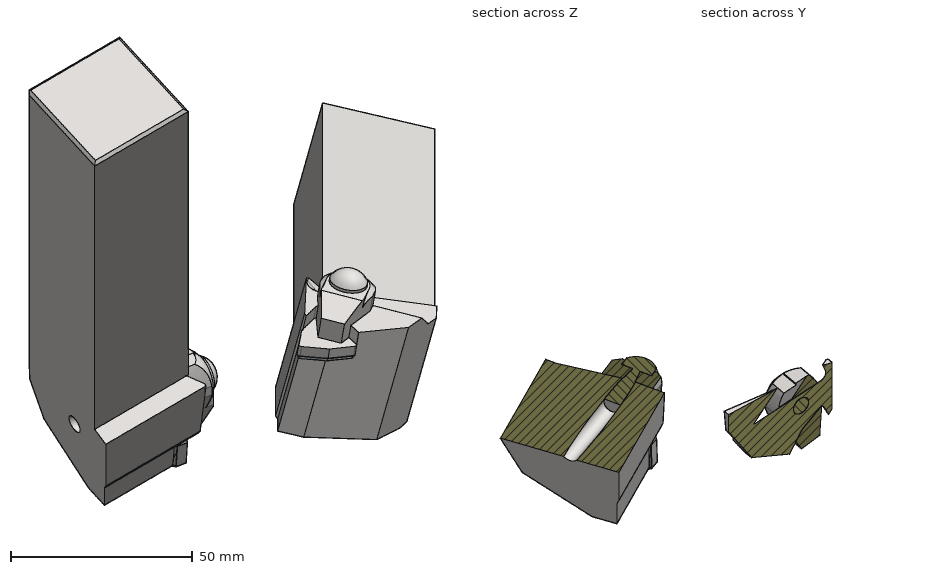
import cadquery as cq
import math

TOP_Z = 151.9
SHANK_SIZE = 32.0
EDGE_CHAMFER_X = 1.7
EDGE_CHAMFER_Y = 1.0
TOP_CHAMFER = 0.9

HEAD_RIGHT = 37.2
HEAD_TOP_Z = 31.1
SHOULDER_DROP = 1.4
HEAD_BLANK_Y = 45.5
LEFT_BEVEL_Z = 24.8
CORNER_X, CORNER_Z = 8.4, 10.8
BOTTOM_X, BOTTOM_Z = 29.2, 1.4
SEAT_RIGHT = 36.6
RELIEF_LOW_Z = 9.3
RELIEF_HIGH_Z = 10.8

TIP_X, TIP_Y, TIP_Z = 37.7, 27.2, -0.08
TILT_ANGLE = 6.0
TILT = math.tan(math.radians(TILT_ANGLE))
NORMAL = cq.Vector(TILT, 1, -TILT)
BACK = cq.Vector(-1, TILT, 0)
BIG = 121.5

INSCRIBED_RADIUS = 6.4
CORNER_COUNT = 6
TIP_ANGLE = 80.0
EDGE_ANGLE = 5.0
INSERT_THICKNESS = 3.2
TIP_RADIUS = 0.8
SHIM_THICKNESS = 0.9
SHIM_INSET = 0.3

RIDGE_HEIGHT = 4.0
CLAMP_TURN = 13.0
CLAMP_HEIGHT = 10.0
CLAMP_HALF_WIDTH = 7.6
FLANK_END = 1.5
SHOULDER_END = 4.0
SHOULDER_REACH = 8.4
TAB_START = -0.3
TAB_END = -4.9
TAIL_REACH = 9.0
BULGE_ANGLE = 35.0
HEEL_REACH = 4.9
HEEL_RELIEF = 1.2
NOSE_REACH = 15.5
NOSE_HALF_WIDTH = 3.3
NOSE_HEIGHT = 6.2
NOSE_SLOPE_START = 7.3
NOSE_BAR_HALF_WIDTH = 6.1
CROWN_RADIUS = 11.1
CROWN_CENTRE_HEIGHT = 0.8

GROOVE_WALL = 6.1
GROOVE_RIGHT = 7.9
WEDGE_ANGLE = 48.0

SCREW_FOOT_X, SCREW_FOOT_Z = 22.6, 23.5
SCREW_DIAMETER = 5.2
SCREW_DEPTH = 6.1
SCREW_HEAD_RADIUS = 5.3
DOME_HEIGHT = 3.0
HEAD_RECESS = 2.1
HEAD_RIM = 3.0


insert_plane = cq.Plane(origin=(TIP_X, TIP_Y, TIP_Z), xDir=BACK, normal=NORMAL)


def screw_axis_origin():
    """Point where the screw axis crosses the insert's top face."""
    foot = cq.Vector(SCREW_FOOT_X, 0, SCREW_FOOT_Z)
    tip = cq.Vector(TIP_X, TIP_Y, TIP_Z)
    travel = (tip - foot).dot(NORMAL) / NORMAL.dot(NORMAL)
    return foot + NORMAL * travel


clamp_plane = cq.Plane(origin=screw_axis_origin(), xDir=BACK, normal=NORMAL).rotated((0, 0, -CLAMP_TURN))


def at_height(plane, height):
    """Workplane parallel to a tilted plane, raised along its normal."""
    return cq.Workplane(plane).workplane(offset=height)


def trigon(height, thickness, inset):
    """Six-sided plate with three sharp corners, its top face at the given height."""
    half_tip = math.radians(TIP_ANGLE / 2)
    half_blunt = math.radians(120 - TIP_ANGLE / 2)
    to_corner = INSCRIBED_RADIUS / math.sin(half_tip)
    centre_angle = math.radians(EDGE_ANGLE + TIP_ANGLE / 2)
    centre_x = to_corner * math.cos(centre_angle)
    centre_y = to_corner * math.sin(centre_angle)
    inner = INSCRIBED_RADIUS - inset
    points = []
    for i in range(CORNER_COUNT):
        reach = inner / math.sin(half_tip if i % 2 == 0 else half_blunt)
        angle = centre_angle + math.pi + i * math.tau / CORNER_COUNT
        points.append((centre_x + reach * math.cos(angle), centre_y + reach * math.sin(angle)))
    plate = at_height(insert_plane, height - thickness).polyline(points).close().extrude(thickness)
    mid_height = height - thickness / 2
    sharp_corners = [insert_plane.toWorldCoords((x, y, mid_height)).toTuple() for x, y in points[::2]]
    edges = [plate.edges(cq.selectors.NearestToPointSelector(corner)).val() for corner in sharp_corners]
    return plate.newObject(edges).fillet(TIP_RADIUS)


def make_shank():
    shank = cq.Workplane("XY").workplane(offset=HEAD_TOP_Z).rect(SHANK_SIZE, SHANK_SIZE, centered=False)
    shank = shank.extrude(TOP_Z - HEAD_TOP_Z)
    return shank.faces(">Z").chamfer(TOP_CHAMFER)


def make_head():
    outline = [
        (0, HEAD_TOP_Z),
        (SHANK_SIZE, HEAD_TOP_Z),
        (HEAD_RIGHT, HEAD_TOP_Z - SHOULDER_DROP),
        (HEAD_RIGHT, RELIEF_HIGH_Z),
        (SEAT_RIGHT, RELIEF_LOW_Z),
        (SEAT_RIGHT, BOTTOM_Z),
        (BOTTOM_X, BOTTOM_Z),
        (CORNER_X, CORNER_Z),
        (0, LEFT_BEVEL_Z),
    ]
    head = cq.Workplane("XZ").polyline(outline).close().extrude(-HEAD_BLANK_Y)
    above_ridge = at_height(insert_plane, RIDGE_HEIGHT).rect(BIG, BIG).extrude(BIG)
    return head.cut(above_ridge)


def make_groove():
    """Open space behind the ridge, with sloped walls facing the clamp's heel."""
    groove = cq.Workplane(clamp_plane).moveTo(-GROOVE_RIGHT, GROOVE_WALL).rect(BIG, BIG, centered=False)
    return groove.extrude(CLAMP_HEIGHT, taper=-WEDGE_ANGLE)


def make_edge_chamfer():
    edge = cq.Workplane("XY").polyline([(0, 0), (EDGE_CHAMFER_X, 0), (0, EDGE_CHAMFER_Y)]).close()
    return edge.extrude(TOP_Z)


def make_insert_pocket():
    """Pocket with the insert's outline, open above the insert."""
    return trigon(CLAMP_HEIGHT, CLAMP_HEIGHT + INSERT_THICKNESS, 0)


def make_holder():
    bore_depth = BIG / 2
    head = make_head().cut(make_groove())
    holder = make_shank().union(head).cut(make_edge_chamfer())
    holder = holder.cut(make_insert_pocket()).cut(make_shim())
    bore = at_height(clamp_plane, -bore_depth).circle(SCREW_DIAMETER / 2).extrude(2 * bore_depth)
    return holder.cut(bore)


def make_insert():
    return trigon(0, INSERT_THICKNESS, 0)


def make_shim():
    return trigon(-INSERT_THICKNESS, SHIM_THICKNESS, SHIM_INSET)


def make_screw():
    shaft = at_height(clamp_plane, -SCREW_DEPTH).circle(SCREW_DIAMETER / 2).extrude(SCREW_DEPTH + CLAMP_HEIGHT)
    sphere_radius = (SCREW_HEAD_RADIUS**2 + DOME_HEIGHT**2) / (2 * DOME_HEIGHT)
    head_base = CLAMP_HEIGHT - HEAD_RECESS
    head_top = head_base + HEAD_RIM + DOME_HEIGHT
    rim = at_height(clamp_plane, head_base).circle(SCREW_HEAD_RADIUS).extrude(head_top - head_base)
    ball = at_height(clamp_plane, head_top - sphere_radius).sphere(sphere_radius)
    return shaft.union(rim.intersect(ball))


def make_clamp_outline():
    """Upright block with the clamp's outline: rounded flanks, stepped tail and narrow nose."""
    bulge = math.radians(BULGE_ANGLE)
    bulge_x = CLAMP_HALF_WIDTH * math.cos(bulge)
    bulge_y = FLANK_END + CLAMP_HALF_WIDTH * math.sin(bulge)
    return (
        cq.Workplane(clamp_plane)
        .moveTo(TAB_END, TAIL_REACH)
        .lineTo(TAB_START, TAIL_REACH)
        .lineTo(TAB_START, SHOULDER_REACH)
        .lineTo(SHOULDER_END, SHOULDER_REACH)
        .threePointArc((bulge_x, bulge_y), (CLAMP_HALF_WIDTH, FLANK_END))
        .lineTo(CLAMP_HALF_WIDTH, -FLANK_END)
        .lineTo(NOSE_HALF_WIDTH, -NOSE_REACH)
        .lineTo(-NOSE_HALF_WIDTH, -NOSE_REACH)
        .lineTo(-CLAMP_HALF_WIDTH, -FLANK_END)
        .lineTo(-CLAMP_HALF_WIDTH, FLANK_END)
        .threePointArc((-bulge_x, bulge_y), (TAB_END, TAIL_REACH))
        .close()
        .extrude(CLAMP_HEIGHT)
    )


def make_crown():
    """Sphere centred on the screw axis that rounds the clamp's top."""
    return at_height(clamp_plane, CROWN_CENTRE_HEIGHT).sphere(CROWN_RADIUS)


def make_nose():
    """Bar along the clamp whose top slopes down to the nose."""
    side_plane = cq.Plane(origin=clamp_plane.origin, xDir=-clamp_plane.yDir, normal=-clamp_plane.xDir)
    profile = [
        (0, 0),
        (0, CLAMP_HEIGHT),
        (NOSE_SLOPE_START, CLAMP_HEIGHT),
        (NOSE_REACH, NOSE_HEIGHT),
        (NOSE_REACH, 0),
    ]
    return cq.Workplane(side_plane).polyline(profile).close().extrude(NOSE_BAR_HALF_WIDTH, both=True)


def make_clamp(holder, screw):
    """Clamp whose heel fits the groove and whose nose rests on the insert."""
    clamp = make_clamp_outline().intersect(make_crown().union(make_nose()))
    under_tail = cq.Workplane(clamp_plane).moveTo(-BIG / 2, HEEL_REACH).rect(BIG, BIG, centered=False)
    return clamp.cut(under_tail.extrude(HEEL_RELIEF)).cut(holder).cut(screw)


holder = make_holder()
insert = make_insert()
shim = make_shim()
screw = make_screw()
clamp = make_clamp(holder, screw)

bodies = [holder, insert, shim, screw, clamp]
result = cq.Compound.makeCompound([body.solids().val() for body in bodies])